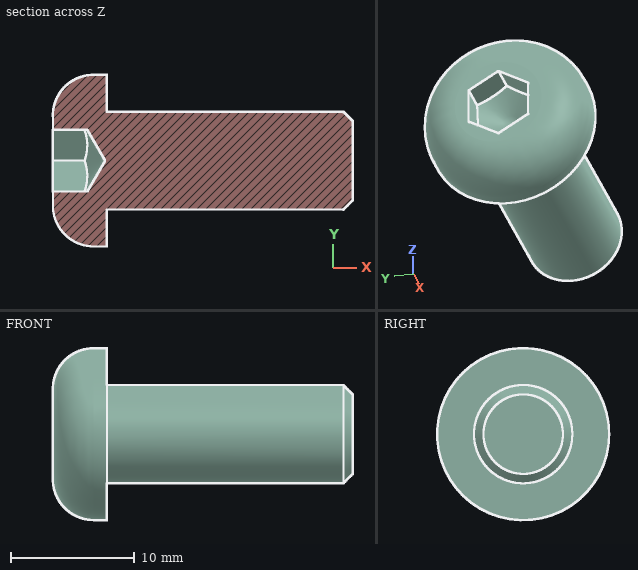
import cadquery as cq
import math

shank_diameter = 8.0
shank_length = 20.0
end_chamfer = 0.767

head_diameter = 14.0
head_height = 4.4
rim_height = 1.05
dome_radius = head_height - rim_height

socket_sides = 6
first_corner_angle = 90.0
socket_across_flats = 5.0
socket_depth = 2.6
socket_floor_angle = 120.0

head_radius = head_diameter / 2
shank_radius = shank_diameter / 2
head_top_x = -head_height
socket_corner_radius = socket_across_flats / 2 / math.cos(math.pi / socket_sides)


def make_blank():
    """Head and shank revolved about the X axis from one half profile."""
    crown_radius = head_radius - dome_radius
    arc_offset = dome_radius * math.sqrt(0.5)
    dome_middle = (-rim_height - arc_offset, crown_radius + arc_offset)
    profile = (
        cq.Workplane("XY")
        .moveTo(head_top_x, 0)
        .lineTo(head_top_x, crown_radius)
        .threePointArc(dome_middle, (-rim_height, head_radius))
        .lineTo(0, head_radius)
        .lineTo(0, shank_radius)
        .lineTo(shank_length - end_chamfer, shank_radius)
        .lineTo(shank_length, shank_radius - end_chamfer)
        .lineTo(shank_length, 0)
        .close()
    )
    return profile.revolve(360, (0, 0, 0), (1, 0, 0))


def make_socket():
    """Hexagonal socket with two corners on the Z direction and a conical floor."""
    corners = []
    for index in range(socket_sides):
        angle = math.radians(first_corner_angle + index * 360 / socket_sides)
        corner_y = socket_corner_radius * math.cos(angle)
        corner_z = socket_corner_radius * math.sin(angle)
        corners.append((corner_y, corner_z))
    hexagon = (
        cq.Workplane("YZ", origin=(head_top_x, 0, 0))
        .polyline(corners)
        .close()
        .extrude(socket_depth)
    )

    floor_x = head_top_x + socket_depth
    cone_height = socket_corner_radius / math.tan(math.radians(socket_floor_angle / 2))
    cone = cq.Solid.makeCone(
        socket_corner_radius, 0, cone_height, cq.Vector(floor_x, 0, 0), cq.Vector(1, 0, 0)
    )
    hexagon_below = hexagon.translate((socket_depth, 0, 0))
    return hexagon.union(hexagon_below.intersect(cq.Workplane(cone)))


result = make_blank().cut(make_socket())